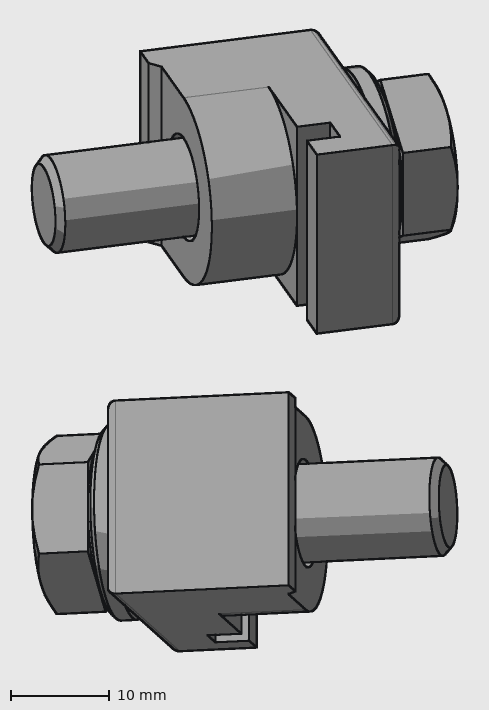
import cadquery as cq
import math


clamp_height = 20.0
heel_edge = -12.0
body_edge = clamp_height / 2
body_depth = 18.0
lip_height = 1.0
lip_width = 3.0
lip_slope_width = 1.2
slot_width = 3.5
slot_floor_depth = 5.5
hook_width = 3.5
hook_depth = 9.0
back_fillet = 1.0
clamp_hole_diameter = 11.0

washer_diameter = 20.0
washer_hole_diameter = 10.5
washer_thickness = 2.2
washer_chamfer = 0.5

shank_diameter = 10.0
shank_length = 35.0
tip_chamfer = 0.8
head_height = 6.4
collar_height = 0.6
across_flats = 16.0
collar_diameter = 16.0
head_chamfer_angle = 30.0


def y_cylinder(diameter, y_start, y_end):
    """Cylinder on the bolt axis, from y_start toward -Y to y_end."""
    base = cq.Workplane("XZ", origin=(0, y_start, 0))
    return base.circle(diameter / 2).extrude(y_start - y_end)


def make_clamp():
    slot_end = body_edge + slot_width
    hook_edge = slot_end + hook_width
    lip_edge = heel_edge + lip_width
    outline = [
        (heel_edge, 0),
        (hook_edge, 0),
        (hook_edge, -hook_depth),
        (slot_end, -hook_depth),
        (slot_end, -slot_floor_depth),
        (body_edge, -slot_floor_depth),
        (body_edge, -body_depth),
        (lip_edge + lip_slope_width, -body_depth),
        (lip_edge, -body_depth - lip_height),
        (heel_edge, -body_depth - lip_height),
    ]
    clamp = cq.Workplane("XY").polyline(outline).close().extrude(clamp_height / 2, both=True)
    clamp = clamp.faces(">Y").edges().fillet(back_fillet)

    rounded_length = body_depth - hook_depth
    corners = (
        cq.Workplane("XZ", origin=(0, -hook_depth, 0))
        .center(body_edge / 2, 0)
        .rect(body_edge, clamp_height)
        .extrude(rounded_length)
        .cut(y_cylinder(clamp_height, -hook_depth, -body_depth))
    )
    bolt_hole = y_cylinder(clamp_hole_diameter, 0, -body_depth)
    return clamp.cut(corners).cut(bolt_hole)


def make_washer():
    disc = y_cylinder(washer_diameter, washer_thickness, 0)
    disc = disc.faces(">Y").edges().chamfer(washer_chamfer)
    return disc.cut(y_cylinder(washer_hole_diameter, washer_thickness, 0))


def make_bolt():
    seat_y = washer_thickness
    hexagon_y = seat_y + collar_height
    top_y = seat_y + head_height
    corner_radius = across_flats / 2 / math.cos(math.radians(30))

    hexagon = (
        cq.Workplane("XZ", origin=(0, top_y, 0))
        .transformed(rotate=(0, 0, 90))
        .polygon(6, 2 * corner_radius)
        .extrude(top_y - hexagon_y)
    )

    chamfer_drop = (corner_radius - across_flats / 2) * math.tan(math.radians(head_chamfer_angle))
    envelope = (
        cq.Workplane("XY")
        .moveTo(0, hexagon_y)
        .lineTo(corner_radius, hexagon_y)
        .lineTo(corner_radius, top_y - chamfer_drop)
        .lineTo(across_flats / 2, top_y)
        .lineTo(0, top_y)
        .close()
        .revolve(360, (0, 0, 0), (0, 1, 0))
    )
    head = hexagon.intersect(envelope)

    collar = y_cylinder(collar_diameter, hexagon_y, seat_y)
    shank = y_cylinder(shank_diameter, seat_y, seat_y - shank_length)
    shank = shank.faces("<Y").edges().chamfer(tip_chamfer)
    return head.union(collar).union(shank)


clamp = make_clamp().solids()
washer = make_washer().solids()
bolt = make_bolt().solids()

result = cq.Compound.makeCompound([clamp.val(), washer.val(), bolt.val()])